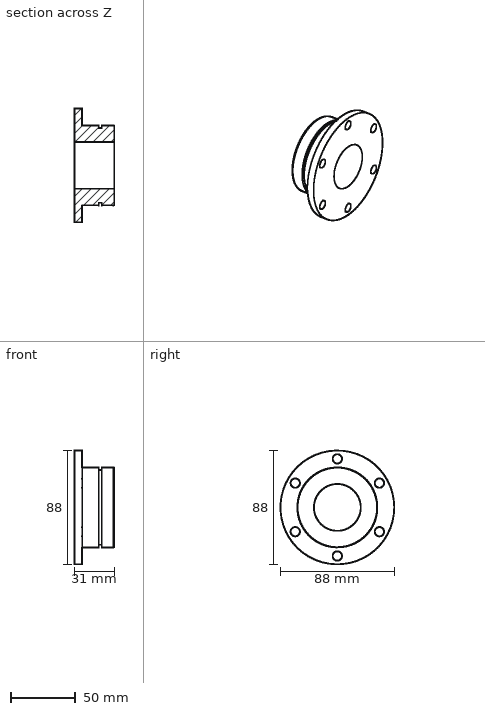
import cadquery as cq

flange_diameter = 88.0
flange_thickness = 6.0
total_length = 31.0
hub_diameter = 61.95
bore_diameter = 36.0
end_chamfer_length = 1.0
end_chamfer_depth = 0.35

groove_start = 19.0
groove_width = 2.0
groove_diameter = 58.0

bolt_count = 6
bolt_hole_diameter = 7.0
bolt_circle_diameter = 75.0


def disc(diameter, start, length):
    """Solid cylinder along X beginning at the given X position."""
    return cq.Workplane("YZ", origin=(start, 0, 0)).circle(diameter / 2).extrude(length)


hub = (
    disc(hub_diameter, 0, total_length)
    .faces(">X")
    .edges()
    .chamfer(end_chamfer_length, end_chamfer_depth)
)

groove = disc(hub_diameter, groove_start, groove_width).cut(
    disc(groove_diameter, groove_start, groove_width)
)

bolt_holes = (
    cq.Workplane("YZ")
    .polarArray(bolt_circle_diameter / 2, 90, 360, bolt_count)
    .circle(bolt_hole_diameter / 2)
    .extrude(flange_thickness)
)

result = (
    disc(flange_diameter, 0, flange_thickness)
    .union(hub)
    .cut(groove)
    .cut(bolt_holes)
    .cut(disc(bore_diameter, 0, total_length))
)